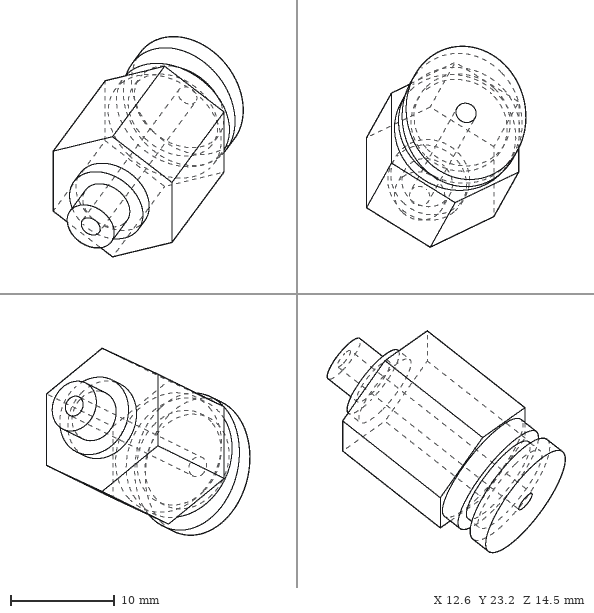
import cadquery as cq
import math

stem_length = 3.75
shoulder_length = 1.5
hex_length = 12.5
collar_length = 2.0
neck_length = 1.49
total_length = 23.25
ring_length = total_length - (stem_length + shoulder_length + hex_length + collar_length + neck_length)

stem_diameter = 5.0
shoulder_diameter = 7.8
hex_across_flats = 12.6
collar_diameter = 12.0
neck_diameter = 9.5
ring_width = 11.85
ring_height = 13.8
bore_diameter = 2.0

hex_across_corners = hex_across_flats / math.cos(math.pi / 6)


def section_plane(y):
    """Plane across the axis at y, with local x along +Z and its normal along +Y."""
    return cq.Workplane(cq.Plane(origin=(0, y, 0), xDir=(0, 0, 1), normal=(0, 1, 0)))


def disc(diameter):
    """Outline function for a round section of the given diameter."""
    return lambda plane: plane.circle(diameter / 2)


def hexagon(plane):
    """Hexagon with corners on +Z and -Z."""
    return plane.polygon(6, hex_across_corners)


def release_ring(plane):
    """Oval, taller along Z than it is wide along X."""
    return plane.ellipse(ring_height / 2, ring_width / 2)


sections = [
    (disc(stem_diameter), stem_length),
    (disc(shoulder_diameter), shoulder_length),
    (hexagon, hex_length),
    (disc(collar_diameter), collar_length),
    (disc(neck_diameter), neck_length),
    (release_ring, ring_length),
]

body = cq.Workplane()
start = 0
for outline, length in sections:
    body = body.add(outline(section_plane(start)).extrude(length))
    start += length
body = body.combine()

bore = section_plane(0).circle(bore_diameter / 2).extrude(total_length)
result = body.cut(bore)